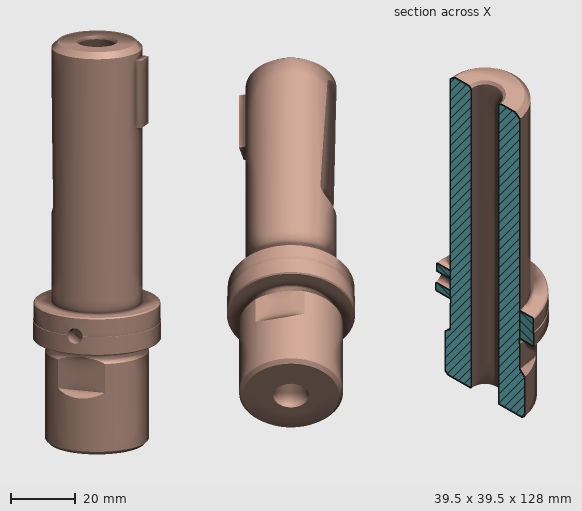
import cadquery as cq
import math

TOTAL_LENGTH = 128.0
SHANK_R = 28.0 / 2
SHANK_TOP_R = 12.2
SHANK_CHAMFER_HEIGHT = 1.8
BORE_R = 11.0 / 2
BORE_CHAMFER = 0.9
HEAD_R = 32.0 / 2
HEAD_EDGE_HEIGHT = 29.2
HEAD_TOP_CHAMFER = 0.8
HEAD_BOTTOM_CHAMFER = 1.2
NECK_R = 27.5 / 2
NECK_SLOPE_ANGLE = 30.0
NECK_FILLET_R = 1.0

WRENCH_HALF_WIDTH = SHANK_R
WRENCH_FLAT_BOTTOM = 20.0

CLAMP_BOTTOM = 77.3
CLAMP_TOP = 121.2
CLAMP_TILT = 2.0
CLAMP_BOTTOM_X = 11.4
CLAMP_CUTTER_R = 5.0

NUT_BOTTOM = 32.9
NUT_HEIGHT = 12.0
NUT_TOP = NUT_BOTTOM + NUT_HEIGHT
NUT_STEP = NUT_BOTTOM + NUT_HEIGHT / 2
NUT_LOWER_R = 39.5 / 2
NUT_UPPER_R = 39.0 / 2
NUT_CHAMFER = 0.4
SPANNER_HOLE_D = 4.9

KEY_WIDTH = 6.0
KEY_BOTTOM = 102.5
KEY_LENGTH = 21.5
KEY_OUTER_X = 15.7
KEY_THICKNESS = 5.1


def make_key():
    """Rectangular key standing out of the +X side of the shank."""
    return (
        cq.Workplane("XY")
        .box(KEY_THICKNESS, KEY_WIDTH, KEY_LENGTH, centered=(False, True, False))
        .translate((KEY_OUTER_X - KEY_THICKNESS, 0, KEY_BOTTOM))
    )


def arbor_blank():
    """Revolved arbor with its through bore, head, neck and shank."""
    slope_bottom_r = HEAD_R - HEAD_TOP_CHAMFER
    slope_bottom = HEAD_EDGE_HEIGHT + HEAD_TOP_CHAMFER
    slope = math.radians(NECK_SLOPE_ANGLE)
    slope_top_r = NECK_R + NECK_FILLET_R * (1 - math.sin(slope))
    slope_top = slope_bottom + (slope_bottom_r - slope_top_r) * math.tan(slope)
    fillet_top = slope_top + NECK_FILLET_R * math.cos(slope)
    return (
        cq.Workplane("XZ")
        .moveTo(BORE_R, 0)
        .lineTo(HEAD_R - HEAD_BOTTOM_CHAMFER, 0)
        .lineTo(HEAD_R, HEAD_BOTTOM_CHAMFER)
        .lineTo(HEAD_R, HEAD_EDGE_HEIGHT)
        .lineTo(slope_bottom_r, slope_bottom)
        .lineTo(slope_top_r, slope_top)
        .tangentArcPoint((NECK_R, fillet_top), relative=False)
        .lineTo(NECK_R, NUT_BOTTOM - (SHANK_R - NECK_R))
        .lineTo(SHANK_R, NUT_BOTTOM)
        .lineTo(SHANK_R, TOTAL_LENGTH - SHANK_CHAMFER_HEIGHT)
        .lineTo(SHANK_TOP_R, TOTAL_LENGTH)
        .lineTo(BORE_R + BORE_CHAMFER, TOTAL_LENGTH)
        .lineTo(BORE_R, TOTAL_LENGTH - BORE_CHAMFER)
        .close()
        .revolve(360, (0, 0, 0), (0, 1, 0))
    )


def wrench_flat_cutter(side):
    """Material removed for one wrench flat; side is -1 or +1 along Y."""
    depth = HEAD_R - WRENCH_HALF_WIDTH
    return (
        cq.Workplane("YZ")
        .moveTo(side * WRENCH_HALF_WIDTH, WRENCH_FLAT_BOTTOM)
        .lineTo(side * HEAD_R, WRENCH_FLAT_BOTTOM - depth)
        .lineTo(side * HEAD_R, NUT_BOTTOM)
        .lineTo(side * WRENCH_HALF_WIDTH, NUT_BOTTOM)
        .close()
        .extrude(HEAD_R, both=True)
    )


def clamp_flat_cutter():
    """Tilted slot whose inner straight side forms the clamping flat."""
    tilt = math.radians(CLAMP_TILT)
    half_rise = (CLAMP_TOP - CLAMP_BOTTOM) / 2
    floor_length = 2 * half_rise / math.cos(tilt)
    floor_mid_x = -CLAMP_BOTTOM_X - half_rise * math.tan(tilt)
    center_x = floor_mid_x - CLAMP_CUTTER_R * math.cos(tilt)
    center_z = (CLAMP_BOTTOM + CLAMP_TOP) / 2 - CLAMP_CUTTER_R * math.sin(tilt)
    return (
        cq.Workplane("XZ")
        .center(center_x, center_z)
        .slot2D(floor_length + 2 * CLAMP_CUTTER_R, 2 * CLAMP_CUTTER_R, 90 + CLAMP_TILT)
        .extrude(SHANK_R, both=True)
    )


def make_arbor(key):
    arbor = arbor_blank()
    for side in (-1, 1):
        arbor = arbor.cut(wrench_flat_cutter(side))
    return arbor.cut(clamp_flat_cutter()).cut(key)


def make_nut():
    """Stepped ring with one radial spanner hole on the -Y side."""
    ring = (
        cq.Workplane("XZ")
        .moveTo(SHANK_R, NUT_BOTTOM)
        .lineTo(NUT_LOWER_R - NUT_CHAMFER, NUT_BOTTOM)
        .lineTo(NUT_LOWER_R, NUT_BOTTOM + NUT_CHAMFER)
        .lineTo(NUT_LOWER_R, NUT_STEP)
        .lineTo(NUT_UPPER_R, NUT_STEP)
        .lineTo(NUT_UPPER_R, NUT_TOP - NUT_CHAMFER)
        .lineTo(NUT_UPPER_R - NUT_CHAMFER, NUT_TOP)
        .lineTo(SHANK_R, NUT_TOP)
        .close()
        .revolve(360, (0, 0, 0), (0, 1, 0))
    )
    spanner_hole = (
        cq.Workplane("XZ")
        .center(0, NUT_STEP)
        .circle(SPANNER_HOLE_D / 2)
        .extrude(NUT_LOWER_R)
    )
    return ring.cut(spanner_hole)


key = make_key()
arbor = make_arbor(key)
nut = make_nut()

result = cq.Compound.makeCompound([arbor.val(), nut.val(), key.val()])